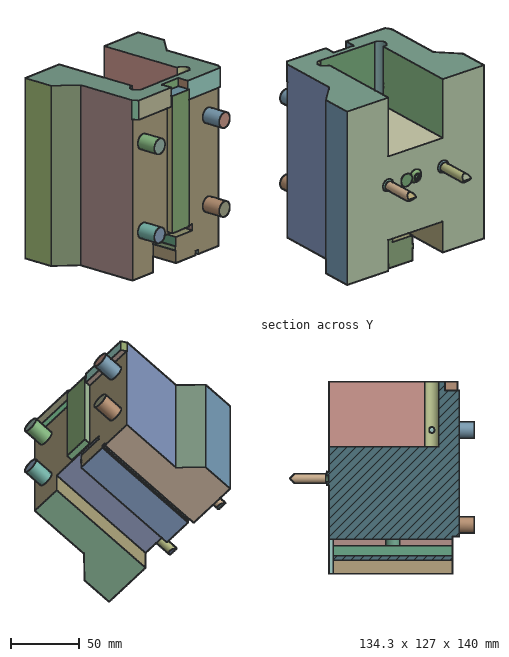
import cadquery as cq


height = 140.0
flange_width = 127.0
flange_half_width = flange_width / 2
rear_half_width = 48.3
flange_depth = 24.9
taper_end = 40.3
rear_face = 90.0

band_height = 15.0
band_rear = 93.8
band_chamfer_length = 4.3
band_chamfer_width = 2.5

key_width = 18.6
key_front = 84.5
key_rear = 94.9
key_top = height - 6.5
key_bottom = 27.0

channel_width = 50.4
pocket_depth = 47.5
pocket_length = 80.0
relief_radius = 5.0
relief_offset = 25.8

channel_height = 25.0
clamp_front = 3.1
clamp_side = 0.3
clamp_height = 20.3
clamp_tab_width = 6.3
clamp_groove_width = 2.7
clamp_groove_height = 3.5
clamp_rib_bottom = 9.8
clamp_rib_height = 3.4
clamp_rib_depth = 0.5
post_diameter = 10.1
post_y = 10.8

dowel_diameter = 12.0
dowel_front = 70.0
dowel_end = 105.8
dowel_y = 36.4
dowel_heights = (35.7, 104.7)

pin_height = 69.5
pin_y = 25.5
pin_diameter = 7.1
pin_length = 28.5
collar_diameter = 9.7
collar_length = 1.3
button_diameter = 10.5
button_rim_diameter = 5.9
button_length = 2.4
button_shoulder_diameter = 8.7
button_shoulder = 1.3
socket_diameter = 4.5
socket_depth = 2.0
disc_y = 9.5
disc_diameter = 10.2
disc_base_diameter = 7.8
disc_length = 1.7


def box(x_range, y_range, z_range):
    """Box between the given limits along each axis."""
    (x0, x1), (y0, y1), (z0, z1) = x_range, y_range, z_range
    return cq.Workplane("XY").box(x1 - x0, y1 - y0, z1 - z0, centered=False).translate((x0, y0, z0))


def rod(diameter, x_start, x_end, y, z):
    """Cylinder along X."""
    plane = cq.Workplane("YZ", origin=(x_start, y, z))
    return plane.circle(diameter / 2).extrude(x_end - x_start)


def cone(front_diameter, rear_diameter, length, y):
    """Truncated cone on X standing out from the front face at pin height."""
    profile = [(0, 0), (0, rear_diameter / 2), (-length, front_diameter / 2), (-length, 0)]
    turned = cq.Workplane("XY").polyline(profile).close().revolve(360, (0, 0, 0), (1, 0, 0))
    return turned.translate((0, y, pin_height))


def block():
    """Flanged block with a thicker, chamfered band along the top of its rear face."""
    front_points = [
        (0, 0),
        (0, flange_half_width),
        (flange_depth, flange_half_width),
        (taper_end, rear_half_width),
    ]
    lower_points = front_points + [(rear_face, rear_half_width), (rear_face, 0)]
    upper_points = front_points + [
        (band_rear - band_chamfer_length, rear_half_width),
        (band_rear, rear_half_width - band_chamfer_width),
        (band_rear, 0),
    ]
    lower_height = height - band_height
    lower = cq.Workplane("XY").polyline(lower_points).close().extrude(lower_height)
    band_base = cq.Workplane("XY", origin=(0, 0, lower_height))
    upper = band_base.polyline(upper_points).close().extrude(band_height)
    half = lower.union(upper)
    return half.union(half.mirror("XZ"))


def pocket():
    """Pocket open to the top and front, with round reliefs in the rear corners."""
    half_width = channel_width / 2
    floor = height - pocket_depth
    space = box((0, pocket_length), (-half_width, half_width), (floor, height))
    reliefs = (
        cq.Workplane("XY", origin=(pocket_length - relief_radius, 0, floor))
        .pushPoints([(0, -relief_offset), (0, relief_offset)])
        .circle(relief_radius)
        .extrude(pocket_depth)
    )
    return space.union(reliefs)


def clamp_block():
    """Block on one side of the bottom channel, tied to the channel roof by a tab and a post."""
    wall = channel_width / 2
    outline = [
        (wall, clamp_groove_height),
        (wall, channel_height),
        (wall - clamp_tab_width, channel_height),
        (wall - clamp_tab_width, clamp_height),
        (clamp_side, clamp_height),
        (clamp_side, 0),
        (wall - clamp_groove_width, 0),
        (wall - clamp_groove_width, clamp_groove_height),
    ]
    length = rear_face - clamp_front
    body = cq.Workplane("YZ", origin=(clamp_front, 0, 0)).polyline(outline).close().extrude(length)
    rib = box(
        (clamp_front, rear_face),
        (clamp_side - clamp_rib_depth, clamp_side),
        (clamp_rib_bottom, clamp_rib_bottom + clamp_rib_height),
    )
    post_center = (clamp_front + length / 2, post_y, clamp_height)
    post_length = channel_height - clamp_height
    post = cq.Workplane("XY", origin=post_center).circle(post_diameter / 2).extrude(post_length)
    return body.union(rib).union(post)


def pin(y):
    """Round pin with a tapered collar and a 90 degree chisel tip whose edge runs along Y."""
    radius = pin_diameter / 2
    shank = rod(pin_diameter, -pin_length, 0, y, pin_height)
    side_profile = [
        (-pin_length, pin_height),
        (radius - pin_length, pin_height + radius),
        (0, pin_height + radius),
        (0, pin_height - radius),
        (radius - pin_length, pin_height - radius),
    ]
    wedge = cq.Workplane("XZ", origin=(0, y, 0)).polyline(side_profile).close().extrude(radius, both=True)
    return shank.intersect(wedge).union(cone(pin_diameter, collar_diameter, collar_length, y))


def button():
    """Domed screw head with a round socket."""
    dome = (
        cq.Workplane("XY")
        .lineTo(0, button_diameter / 2)
        .threePointArc(
            (-button_shoulder, button_shoulder_diameter / 2),
            (-button_length, button_rim_diameter / 2),
        )
        .lineTo(-button_length, 0)
        .close()
        .revolve(360, (0, 0, 0), (1, 0, 0))
        .translate((0, 0, pin_height))
    )
    return dome.cut(rod(socket_diameter, -button_length, socket_depth - button_length, 0, pin_height))


half_channel = channel_width / 2
half_key = key_width / 2

result = block()
result = result.cut(pocket())
result = result.cut(box((0, rear_face), (-half_channel, half_channel), (0, channel_height)))
result = result.cut(box((key_front, band_rear), (-half_key, half_key), (key_top, height)))
result = result.union(box((key_front, key_rear), (-half_key, half_key), (key_bottom, key_top)))
result = result.union(clamp_block())

for side in (-1, 1):
    result = result.union(pin(side * pin_y))
    for dowel_height in dowel_heights:
        result = result.union(rod(dowel_diameter, dowel_front, dowel_end, side * dowel_y, dowel_height))

result = result.union(cone(disc_diameter, disc_base_diameter, disc_length, disc_y))
result = result.union(button())